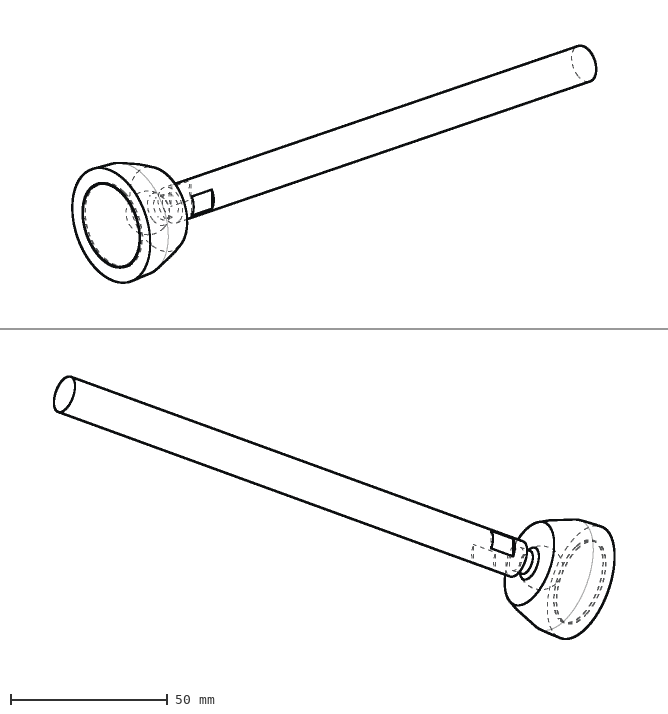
import cadquery as cq
import math

total_length = 200.0

foot_diameter = 38.0
foot_top_diameter = 28.0
foot_height = 20.0
band_height = 8.0
band_top_diameter = 37.15
band_bulge = 0.08
shoulder_bulge = 0.35

groove_outer_diameter = 28.0
groove_inner_diameter = 27.5
groove_depth = 1.0

rod_diameter = 12.0
rod_start = 25.0
neck_diameter = 7.8
ball_diameter = 14.0
ball_center = 15.5

flats_width = 10.0
flats_length = 8.5
flats_start = 29.7


def bowed_point(start, end, bulge):
    """Middle point of an arc between two (height, radius) points, bowed away from the axis."""
    run_height = end[0] - start[0]
    run_radius = end[1] - start[1]
    chord = math.hypot(run_height, run_radius)
    middle_height = (start[0] + end[0]) / 2 - bulge * run_radius / chord
    middle_radius = (start[1] + end[1]) / 2 + bulge * run_height / chord
    return (middle_height, middle_radius)


def turned(profile):
    """Revolve a closed profile of (height, radius) points once round the Y axis."""
    return profile.revolve(360, (0, 0, 0), (1, 0, 0))


def make_ball():
    return cq.Workplane("XY").sphere(ball_diameter / 2).translate((0, ball_center, 0))


def make_foot():
    base_edge = (0, foot_diameter / 2)
    band_edge = (band_height, band_top_diameter / 2)
    top_edge = (foot_height, foot_top_diameter / 2)
    body = turned(
        cq.Workplane("YZ")
        .lineTo(*base_edge)
        .threePointArc(bowed_point(base_edge, band_edge, band_bulge), band_edge)
        .threePointArc(bowed_point(band_edge, top_edge, shoulder_bulge), top_edge)
        .lineTo(foot_height, 0)
        .close()
    )
    groove = turned(
        cq.Workplane("YZ")
        .moveTo(0, groove_inner_diameter / 2)
        .lineTo(0, groove_outer_diameter / 2)
        .lineTo(groove_depth, groove_outer_diameter / 2)
        .lineTo(groove_depth, groove_inner_diameter / 2)
        .close()
    )
    return body.cut(groove).cut(make_ball())


def make_spindle():
    shaft = turned(
        cq.Workplane("YZ")
        .moveTo(ball_center, 0)
        .lineTo(ball_center, neck_diameter / 2)
        .lineTo(rod_start, neck_diameter / 2)
        .lineTo(rod_start, rod_diameter / 2)
        .lineTo(total_length, rod_diameter / 2)
        .lineTo(total_length, 0)
        .close()
    )
    spindle = shaft.union(make_ball())
    for side in (-1, 1):
        flat_cutter = cq.Workplane("XY").box(rod_diameter, flats_length, rod_diameter)
        flat_x = side * (flats_width + rod_diameter) / 2
        flat_y = flats_start + flats_length / 2
        spindle = spindle.cut(flat_cutter.translate((flat_x, flat_y, 0)))
    return spindle


foot = make_foot()
spindle = make_spindle()

result = cq.Compound.makeCompound([foot.val(), spindle.val()])